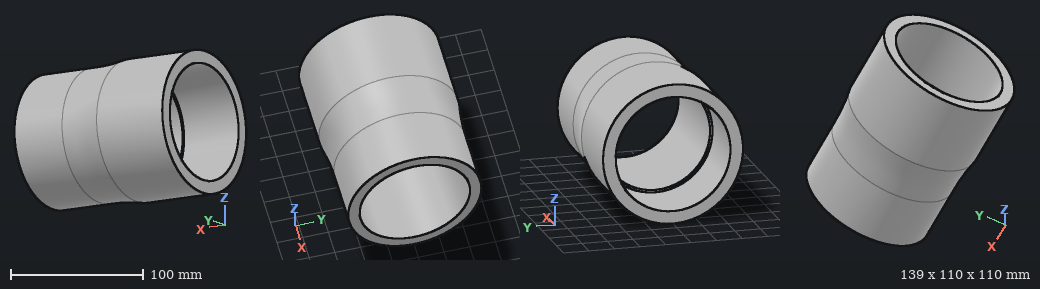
import cadquery as cq

length = 139.0
socket_diameter = 110.0
spigot_diameter = 104.0
socket_bore = 90.0
spigot_bore = 86.0
socket_length = 60.7
spigot_length = 44.2
socket_bore_depth = 50.5

neck_end = length - spigot_length
socket_radius = socket_diameter / 2
spigot_radius = spigot_diameter / 2

neck_hollow = 0.9
neck_middle_x = (socket_length + neck_end) / 2
neck_middle_radius = (socket_radius + spigot_radius) / 2 - neck_hollow

body = (
    cq.Workplane("XY")
    .lineTo(0, socket_radius)
    .lineTo(socket_length, socket_radius)
    .threePointArc((neck_middle_x, neck_middle_radius), (neck_end, spigot_radius))
    .lineTo(length, spigot_radius)
    .lineTo(length, 0)
    .close()
    .revolve(360, (0, 0, 0), (1, 0, 0))
)


def bore(diameter, depth):
    """Cylinder along X from the socket mouth."""
    return cq.Workplane("YZ").circle(diameter / 2).extrude(depth)


result = body.cut(bore(spigot_bore, length)).cut(bore(socket_bore, socket_bore_depth))